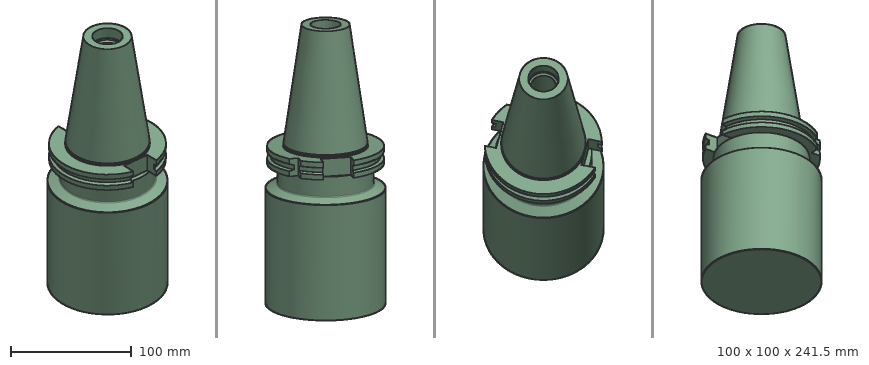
import cadquery as cq
import math

total_height = 241.5
body_radius = 50.0
body_height = 100.0
edge_chamfer = 0.5
neck_radius = 39.98
shoulder_angle = 21.5
neck_fillet = 1.0

flange_bottom = 121.5
flange_top = 136.7
flange_radius = 48.5
groove_center = 129.0
groove_radius = 45.5
groove_floor_width = 3.9
groove_wall_angle = 20.0

gauge_height = 139.2
gauge_radius = 35.0
lip_height = 0.5
relief_flare = 0.6
relief_radius = 34.67
taper_half_slope = 7 / 48
taper_top_radius = gauge_radius - (total_height - gauge_height) * taper_half_slope

slot_width = 25.5
left_slot_distance = 37.2
right_slot_distance = 35.3
notch_distance = 30.2

pilot_diameter = 25.1
pilot_depth = 9.7
undercut_diameter = 25.4
undercut_length = 2.0
bore_diameter = 21.0
bore_depth = 60.5
seat_angle = 30.0
drill_point_angle = 118.0


def revolve_profile(points):
    """Revolve a closed (radius, height) outline around Z."""
    return cq.Workplane("XZ").polyline(points).close().revolve(360, (0, 0), (0, 1))


def make_holder():
    groove_depth = flange_radius - groove_radius
    floor_half = groove_floor_width / 2
    mouth_half = floor_half + groove_depth * math.tan(math.radians(groove_wall_angle))
    lip_bottom = gauge_height - lip_height
    shoulder_top = body_height + edge_chamfer
    shoulder_run = body_radius - edge_chamfer - neck_radius
    neck_bottom = shoulder_top + shoulder_run * math.tan(math.radians(shoulder_angle))
    holder = revolve_profile([
        (0, 0),
        (body_radius - edge_chamfer, 0),
        (body_radius, edge_chamfer),
        (body_radius, body_height),
        (body_radius - edge_chamfer, shoulder_top),
        (neck_radius, neck_bottom),
        (neck_radius, flange_bottom),
        (flange_radius, flange_bottom),
        (flange_radius, groove_center - mouth_half),
        (groove_radius, groove_center - floor_half),
        (groove_radius, groove_center + floor_half),
        (flange_radius, groove_center + mouth_half),
        (flange_radius, flange_top),
        (relief_radius + relief_flare, flange_top),
        (relief_radius, flange_top + relief_flare),
        (relief_radius, lip_bottom),
        (gauge_radius, gauge_height),
        (taper_top_radius, total_height),
        (0, total_height),
    ])
    neck_corner = cq.selectors.NearestToPointSelector((0, 0, neck_bottom))
    return holder.edges("%CIRCLE").edges(neck_corner).fillet(neck_fillet)


def make_bore():
    pilot_radius = pilot_diameter / 2
    bore_radius = bore_diameter / 2
    pilot_bottom = total_height - pilot_depth
    undercut_radius = undercut_diameter / 2
    seat_top = pilot_bottom - undercut_length
    seat_bottom = seat_top - (undercut_radius - bore_radius) * math.tan(math.radians(seat_angle))
    bore_bottom = total_height - bore_depth
    point_depth = bore_radius / math.tan(math.radians(drill_point_angle / 2))
    return revolve_profile([
        (0, total_height),
        (pilot_radius, total_height),
        (pilot_radius, pilot_bottom),
        (undercut_radius, pilot_bottom),
        (undercut_radius, seat_top),
        (bore_radius, seat_bottom),
        (bore_radius, bore_bottom),
        (0, bore_bottom - point_depth),
    ])


def flange_cutter(x_start, x_end, y_start, y_end):
    """Block spanning the flange height between two opposite XY corners."""
    size = (x_end - x_start, y_end - y_start, flange_top - flange_bottom)
    return cq.Workplane("XY").box(*size, centered=False).translate((x_start, y_start, flange_bottom))


half_slot = slot_width / 2
left_slot = flange_cutter(-body_radius, -left_slot_distance, -half_slot, half_slot)
right_slot = flange_cutter(right_slot_distance, body_radius, -half_slot, half_slot)
notch = flange_cutter(-body_radius, -notch_distance, notch_distance, body_radius)

result = make_holder().cut(make_bore())
for cutter in (left_slot, right_slot, notch):
    result = result.cut(cutter)